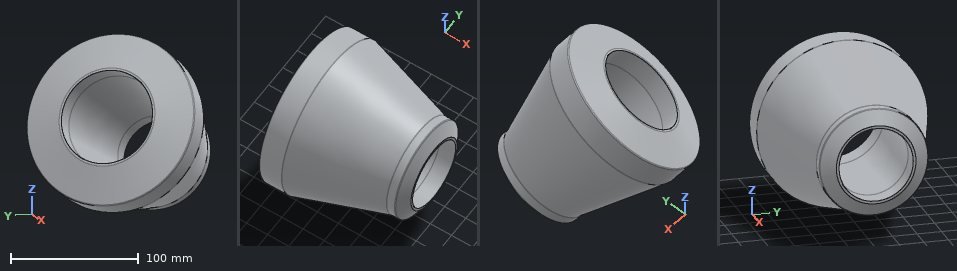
import cadquery as cq

length = 127.0
wide_bevel_end = 8.4
wide_band_end = 29.9
taper_end = 112.0
narrow_band_end = 120.0

wide_face_diameter = 79.6
wide_diameter = 139.7
narrow_diameter = 88.8
narrow_face_diameter = 65.0

wide_bore_diameter = 75.7
narrow_bore_diameter = 60.5
bore_taper_start = 17.6
bore_taper_end = taper_end

band_edge_radius = 1.0
tolerance = 0.01

section = (
    cq.Workplane("XY")
    .moveTo(0, wide_bore_diameter / 2)
    .lineTo(0, wide_face_diameter / 2)
    .lineTo(wide_bevel_end, wide_diameter / 2)
    .lineTo(wide_band_end, wide_diameter / 2)
    .lineTo(taper_end, narrow_diameter / 2)
    .lineTo(narrow_band_end, narrow_diameter / 2)
    .lineTo(length, narrow_face_diameter / 2)
    .lineTo(length, narrow_bore_diameter / 2)
    .lineTo(bore_taper_end, narrow_bore_diameter / 2)
    .lineTo(bore_taper_start, wide_bore_diameter / 2)
    .close()
)

body = section.revolve(360, (0, 0, 0), (1, 0, 0)).translate((-length / 2, 0, 0))


def is_band_edge(edge):
    """True for the circular edges that bound the two cylindrical bands."""
    if edge.geomType() != "CIRCLE":
        return False
    band_radii = (wide_diameter / 2, narrow_diameter / 2)
    return any(abs(edge.radius() - radius) < tolerance for radius in band_radii)


result = body.edges().filter(is_band_edge).fillet(band_edge_radius)